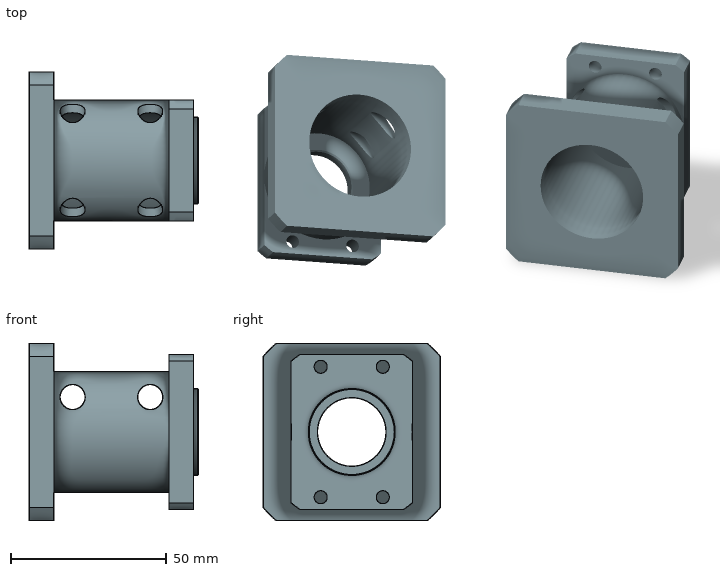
import cadquery as cq

flange_thickness = 8.0
tube_length = 37.0
spigot_length = 1.5
overlap = 1.0

large_flange_side = 57.0
large_flange_corner_diameter = 75.0
small_flange_width = 39.0
small_flange_height = 50.0
small_flange_corner_diameter = 60.0

tube_diameter = 39.0
spigot_diameter = 28.0
spigot_chamfer = 0.3
main_bore_diameter = 34.0
end_bore_diameter = 22.0
end_bore_chamfer = 0.5
web_thickness = 3.5

cross_hole_diameter = 8.0
cross_hole_height = 11.25
cross_hole_first_x = 14.0
cross_hole_spacing = 25.0

bolt_hole_diameter = 4.2
bolt_spacing_y = 20.0
bolt_spacing_z = 42.0

small_flange_x = flange_thickness + tube_length
spigot_x = small_flange_x + flange_thickness
total_length = spigot_x + spigot_length
main_bore_depth = spigot_x - web_thickness


def plane_at(x):
    """Cross-section plane with local axes Y and Z, facing +X."""
    return cq.Workplane("YZ", origin=(x, 0, 0))


def cylinder(x_start, x_end, diameter):
    return plane_at(x_start).circle(diameter / 2).extrude(x_end - x_start)


def flange(x, width, height, corner_diameter):
    """Rectangular plate whose corners are turned down to a circle about the axis."""
    plate = plane_at(x).rect(width, height).extrude(flange_thickness)
    return plate.intersect(cylinder(x, x + flange_thickness, corner_diameter))


def body():
    large_flange = flange(0, large_flange_side, large_flange_side, large_flange_corner_diameter)
    small_flange = flange(
        small_flange_x, small_flange_width, small_flange_height, small_flange_corner_diameter
    )
    tube = cylinder(flange_thickness - overlap, small_flange_x + overlap, tube_diameter)
    spigot = cylinder(spigot_x - overlap, total_length, spigot_diameter)
    spigot = spigot.faces(">X").chamfer(spigot_chamfer)
    return large_flange.union(tube).union(small_flange).union(spigot)


def bores():
    """Main bore up to the web, then the chamfered end bore."""
    main_bore = cylinder(0, main_bore_depth, main_bore_diameter)
    end_bore = cylinder(0, total_length, end_bore_diameter)
    chamfer = (
        plane_at(main_bore_depth)
        .circle(end_bore_diameter / 2 + end_bore_chamfer)
        .workplane(offset=end_bore_chamfer)
        .circle(end_bore_diameter / 2)
        .loft(ruled=True)
    )
    return main_bore.union(end_bore).union(chamfer)


def cross_holes():
    """Two holes along Y through both tube walls."""
    last_x = cross_hole_first_x + cross_hole_spacing
    return (
        cq.Workplane("XZ")
        .pushPoints([(x, cross_hole_height) for x in (cross_hole_first_x, last_x)])
        .circle(cross_hole_diameter / 2)
        .extrude(tube_diameter, both=True)
    )


def bolt_holes():
    """Four holes through the small flange."""
    return (
        plane_at(small_flange_x)
        .rect(bolt_spacing_y, bolt_spacing_z, forConstruction=True)
        .vertices()
        .circle(bolt_hole_diameter / 2)
        .extrude(flange_thickness)
    )


result = body().cut(bores()).cut(cross_holes()).cut(bolt_holes())